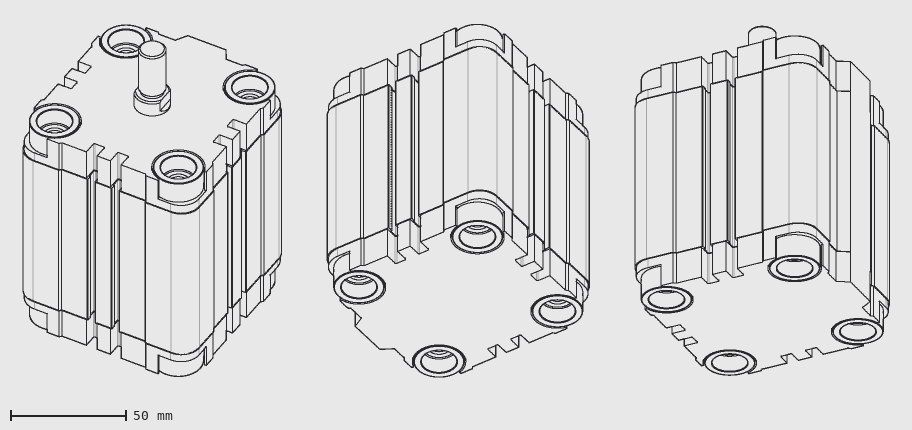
import cadquery as cq

QUARTER_TURNS = (0, 90, 180, 270)
BODY_HEIGHT = 110.0
CAP_HEIGHT = 15.0
TUBE_HALF_WIDTH = 43.5
CORNER_RADIUS = 9.0
CAP_INSET = 0.4
HOLE_OFFSET = 31.0

RECESS_DEPTH = 1.0
RECESS_HALF_LENGTH = 21.8

RAIL_TOP = 47.5
RAIL_TOP_HALF_WIDTH = 9.9
RAIL_BASE_HALF_WIDTH = 13.1
RAIL_CAP_SIDE_INSET = 0.3

SLOT_OFFSET = 6.0
SLOT_FLOOR = 35.9
SLOT_WIDTH = 4.6
SLOT_MOUTH_WIDTH = 3.5
SLOT_MOUTH_CHAMFER = 0.3
SLOT_LIP_BOTTOM = 40.0
SLOT_FLOOR_RADIUS = 0.5
CAP_SLOT_FLOOR = SLOT_FLOOR - CAP_INSET
CAP_SLOT_WIDTH = SLOT_WIDTH + 2 * CAP_INSET
SLOT_SIDE_ANGLES = (0, 90, -90)

BOSS_DIAMETER = 22.0
BOSS_POCKET_DIAMETER = 23.2
BOSS_CHAMFER = 0.3
NOTCH_DEPTH = 10.6
NOTCH_WALL = 27.8

THROUGH_DIAMETER = 8.0
THROUGH_MOUTH_DIAMETER = 9.6
BORE_DIAMETER = 15.4
BORE_MOUTH_DIAMETER = 16.0
BORE_FLOOR_DIAMETER = 14.0
BORE_FLOOR_DEPTH = 8.0
BORE_FLOOR_TAPER_HEIGHT = 0.25

ROD_DIAMETER = 16.0
ROD_SHOULDER_HEIGHT = 7.5
ROD_SHOULDER_CHAMFER = 0.75
NECK_DIAMETER = 10.47
NECK_LENGTH = 1.9
THREAD_DIAMETER = 12.0
ROD_TIP_HEIGHT = 31.5
FLATS_WIDTH = 13.0
FLATS_BOTTOM = 2.2
ROD_SEAT_DEPTH = CAP_HEIGHT


def side_profile(inset, height):
    """Rounded square with a recess in each side, shrunk by the inset."""
    half = TUBE_HALF_WIDTH - inset
    block = cq.Workplane("XY").rect(2 * half, 2 * half).extrude(height)
    block = block.edges("|Z").fillet(CORNER_RADIUS)
    recess = (
        cq.Workplane("XY")
        .polyline([
            (-RECESS_HALF_LENGTH, -half),
            (-RECESS_HALF_LENGTH + RECESS_DEPTH, -half + RECESS_DEPTH),
            (RECESS_HALF_LENGTH - RECESS_DEPTH, -half + RECESS_DEPTH),
            (RECESS_HALF_LENGTH, -half),
        ])
        .close()
        .extrude(height)
    )
    for angle in QUARTER_TURNS:
        block = block.cut(recess.rotate((0, 0, 0), (0, 0, 1), angle))
    return block


def slot_box(width, inner, outer, height):
    """Upright box at X = 0 from Y = -inner to Y = -outer, its inner corners rounded."""
    return (
        cq.Workplane("XY")
        .center(0, -(inner + outer) / 2)
        .rect(width, outer - inner)
        .extrude(height)
        .edges("|Z and >Y")
        .fillet(SLOT_FLOOR_RADIUS)
    )


def slot_mouth(height):
    """Opening between the slot lips, widening at the recessed side face."""
    face = TUBE_HALF_WIDTH - RECESS_DEPTH
    half = SLOT_MOUTH_WIDTH / 2
    half_outer = half + SLOT_MOUTH_CHAMFER
    inner = SLOT_FLOOR + SLOT_FLOOR_RADIUS
    return (
        cq.Workplane("XY")
        .polyline([
            (-half, -inner),
            (half, -inner),
            (half, -face + SLOT_MOUTH_CHAMFER),
            (half_outer, -face),
            (-half_outer, -face),
            (-half, -face + SLOT_MOUTH_CHAMFER),
        ])
        .close()
        .extrude(height)
    )


def cut_slots(block, slot):
    """Cut a pair of slots into each slotted side."""
    for angle in SLOT_SIDE_ANGLES:
        for x in (-SLOT_OFFSET, SLOT_OFFSET):
            placed = slot.translate((x, 0, 0)).rotate((0, 0, 0), (0, 0, 1), angle)
            block = block.cut(placed)
    return block


def make_tube():
    height = BODY_HEIGHT - 2 * CAP_HEIGHT
    chamber = slot_box(SLOT_WIDTH, SLOT_FLOOR, SLOT_LIP_BOTTOM, height)
    tube = cut_slots(side_profile(0, height), chamber.union(slot_mouth(height)))
    return tube.translate((0, 0, CAP_HEIGHT))


def corner_notch():
    """Material removed around the boss of the (+X, +Y) corner of the top cap."""
    floor = BODY_HEIGHT - NOTCH_DEPTH
    size = TUBE_HALF_WIDTH - NOTCH_WALL
    square = (
        cq.Workplane("XY", origin=(NOTCH_WALL, NOTCH_WALL, floor))
        .rect(size, size, centered=False)
        .extrude(NOTCH_DEPTH)
    )
    pocket = (
        cq.Workplane("XY", origin=(HOLE_OFFSET, HOLE_OFFSET, floor))
        .circle(BOSS_POCKET_DIAMETER / 2)
        .extrude(NOTCH_DEPTH)
    )
    boss = (
        cq.Workplane("XY", origin=(HOLE_OFFSET, HOLE_OFFSET, floor))
        .circle(BOSS_DIAMETER / 2)
        .extrude(NOTCH_DEPTH)
        .faces(">Z")
        .chamfer(BOSS_CHAMFER)
    )
    return square.union(pocket).cut(boss)


def corner_hole():
    """Stepped hole of the (+X, +Y) corner through the top cap and half the tube."""
    floor = BODY_HEIGHT - BORE_FLOOR_DEPTH
    bore_radius = BORE_DIAMETER / 2
    mouth_radius = BORE_MOUTH_DIAMETER / 2
    floor_radius = BORE_FLOOR_DIAMETER / 2
    through_radius = THROUGH_DIAMETER / 2
    through_mouth_radius = THROUGH_MOUTH_DIAMETER / 2
    return (
        cq.Workplane("XZ")
        .polyline([
            (0, BODY_HEIGHT / 2),
            (through_radius, BODY_HEIGHT / 2),
            (through_radius, floor - (through_mouth_radius - through_radius)),
            (through_mouth_radius, floor),
            (floor_radius, floor),
            (bore_radius, floor + BORE_FLOOR_TAPER_HEIGHT),
            (bore_radius, BODY_HEIGHT - (mouth_radius - bore_radius)),
            (mouth_radius, BODY_HEIGHT),
            (0, BODY_HEIGHT),
        ])
        .close()
        .revolve(360, (0, 0, 0), (0, 1, 0))
        .translate((HOLE_OFFSET, HOLE_OFFSET, 0))
    )


def make_top_cap():
    slot = slot_box(CAP_SLOT_WIDTH, CAP_SLOT_FLOOR, TUBE_HALF_WIDTH, CAP_HEIGHT)
    cap = cut_slots(side_profile(CAP_INSET, CAP_HEIGHT), slot)
    return cap.translate((0, 0, BODY_HEIGHT - CAP_HEIGHT))


def rail_section(side_inset, bottom, top):
    """Length of the +Y rail between two heights, its flanks moved in by the inset."""
    base = TUBE_HALF_WIDTH - RECESS_DEPTH - CAP_INSET
    base_half = RAIL_BASE_HALF_WIDTH - side_inset
    top_half = RAIL_TOP_HALF_WIDTH - side_inset
    return (
        cq.Workplane("XY", origin=(0, 0, bottom))
        .polyline([
            (-base_half, base),
            (base_half, base),
            (top_half, RAIL_TOP),
            (-top_half, RAIL_TOP),
        ])
        .close()
        .extrude(top - bottom)
    )


def mirrored_to_base(shape):
    """Copy of a top feature, mirrored about the mid-height plane."""
    return shape.mirror("XY", (0, 0, BODY_HEIGHT / 2))


def make_housing():
    cap_start = BODY_HEIGHT - CAP_HEIGHT
    cap = make_top_cap().union(rail_section(RAIL_CAP_SIDE_INSET, cap_start, BODY_HEIGHT))
    tube = make_tube().union(rail_section(0, CAP_HEIGHT, cap_start))
    housing = tube.union(cap).union(mirrored_to_base(cap))
    for corner_cut in (corner_notch(), corner_hole()):
        for angle in QUARTER_TURNS:
            placed = corner_cut.rotate((0, 0, 0), (0, 0, 1), angle)
            housing = housing.cut(placed).cut(mirrored_to_base(placed))
    rod_seat = (
        cq.Workplane("XY", origin=(0, 0, BODY_HEIGHT - ROD_SEAT_DEPTH))
        .circle(ROD_DIAMETER / 2)
        .extrude(ROD_SEAT_DEPTH)
    )
    return housing.cut(rod_seat)


def make_rod():
    """Stepped rod with two wrench flats facing -X and +X."""
    rod_radius = ROD_DIAMETER / 2
    neck_radius = NECK_DIAMETER / 2
    thread_radius = THREAD_DIAMETER / 2
    shoulder = BODY_HEIGHT + ROD_SHOULDER_HEIGHT
    thread_start = shoulder + NECK_LENGTH
    tip = BODY_HEIGHT + ROD_TIP_HEIGHT
    rod = (
        cq.Workplane("XZ")
        .polyline([
            (0, BODY_HEIGHT - ROD_SEAT_DEPTH),
            (rod_radius, BODY_HEIGHT - ROD_SEAT_DEPTH),
            (rod_radius, shoulder - ROD_SHOULDER_CHAMFER),
            (rod_radius - ROD_SHOULDER_CHAMFER, shoulder),
            (neck_radius, shoulder),
            (neck_radius, thread_start),
            (thread_radius, thread_start),
            (thread_radius, tip - (thread_radius - neck_radius)),
            (neck_radius, tip),
            (0, tip),
        ])
        .close()
        .revolve(360, (0, 0, 0), (0, 1, 0))
    )
    flat_x = FLATS_WIDTH / 2
    flat_bottom = BODY_HEIGHT + FLATS_BOTTOM
    flat_cut = (
        cq.Workplane("XZ")
        .polyline([
            (flat_x, shoulder),
            (flat_x, flat_bottom),
            (rod_radius, flat_bottom - (rod_radius - flat_x)),
            (rod_radius, shoulder),
        ])
        .close()
        .extrude(rod_radius, both=True)
    )
    return rod.cut(flat_cut).cut(flat_cut.mirror("YZ"))


housing = make_housing()
rod = make_rod()
result = cq.Compound.makeCompound([housing.val(), rod.val()])